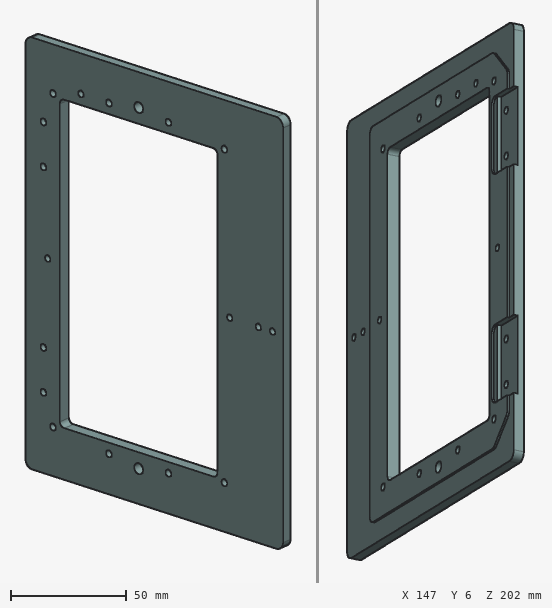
import cadquery as cq

plate_width = 147.0
plate_height = 202.0
plate_thickness = 5.0
plate_corner_radius = 4.0
pad_thickness = 1.0
front_y = -(plate_thickness + pad_thickness) / 2
plate_back_y = front_y + plate_thickness
pad_back_y = plate_back_y + pad_thickness
left_edge_x = -plate_width / 2

window_center_x = -8.9
window_width = 89.9
window_height = 153.5
window_corner_radius = 2.5

pad_width = 121.0
pad_height = 182.6
pad_chamfer = 12.1
pad_corner_radius = 3.0

pocket_center_z = 52.7
pocket_height = 36.0
pocket_length = 14.5
pocket_depth = 2.0
notch_length = pocket_length + pad_corner_radius

small_diameter = 3.0
screw_diameter = 3.2
large_diameter = 5.0
corner_hole_dx = 48.9
corner_hole_dz = 78.0
side_hole_dx = 52.0
edge_hole_dx = 17.0
edge_hole_z = 82.0
extra_hole_x = -41.8
large_hole_z = 84.5
pocket_hole_x = -63.2
pocket_hole_pitch = 21.0
right_hole_xs = (59.4, 67.5)


def block(width, height, y_start, y_end, center_x=0, center_z=0):
    """Rectangular block given by its XZ size and centre, between two Y levels."""
    center = (center_x, (y_start + y_end) / 2, center_z)
    return cq.Workplane("XY").box(width, y_end - y_start, height).translate(center)


def holes(points, diameter):
    """Cylinders along Y through the full thickness at the given (x, z) points."""
    plane = cq.Workplane("XZ", origin=(0, pad_back_y, 0))
    return plane.pushPoints(points).circle(diameter / 2).extrude(pad_back_y - front_y)


def left_recess(length, y_start, y_end, center_z):
    """Block reaching in from the left edge of the plate."""
    return block(length, pocket_height, y_start, y_end, left_edge_x + length / 2, center_z)


def make_pad():
    pad = block(pad_width, pad_height, plate_back_y, pad_back_y, window_center_x)
    pad = pad.edges("|Y and <X").chamfer(pad_chamfer)
    pad = pad.edges("|Y").fillet(pad_corner_radius)
    for side in (-1, 1):
        notch = left_recess(notch_length, plate_back_y, pad_back_y, side * pocket_center_z)
        pad = pad.cut(notch.edges("|Y and >X").fillet(pad_corner_radius))
    return pad


plate = block(plate_width, plate_height, front_y, plate_back_y)
plate = plate.edges("|Y").fillet(plate_corner_radius)
for side in (-1, 1):
    pocket_floor_y = plate_back_y - pocket_depth
    plate = plate.cut(left_recess(pocket_length, pocket_floor_y, plate_back_y, side * pocket_center_z))

window = block(window_width, window_height, front_y, pad_back_y, window_center_x)
window = window.edges("|Y").fillet(window_corner_radius)

small_points = [(window_center_x + side * side_hole_dx, 0) for side in (-1, 1)]
small_points += [(x, 0) for x in right_hole_xs]
small_points.append((extra_hole_x, edge_hole_z))

screw_points = []
large_points = []
for vertical in (-1, 1):
    large_points.append((window_center_x, vertical * large_hole_z))
    for side in (-1, 1):
        screw_points.append((window_center_x + side * corner_hole_dx, vertical * corner_hole_dz))
        screw_points.append((window_center_x + side * edge_hole_dx, vertical * edge_hole_z))
        pocket_hole_z = vertical * pocket_center_z + side * pocket_hole_pitch / 2
        screw_points.append((pocket_hole_x, pocket_hole_z))

result = plate.union(make_pad()).cut(window)
result = result.cut(holes(small_points, small_diameter))
result = result.cut(holes(screw_points, screw_diameter))
result = result.cut(holes(large_points, large_diameter))